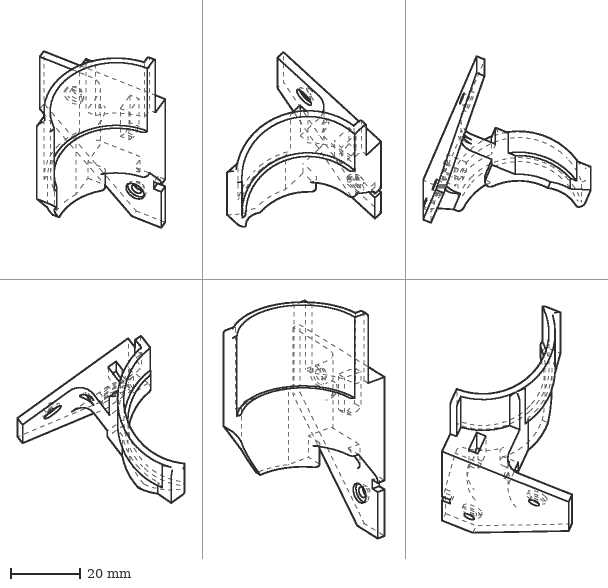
import cadquery as cq
import math

PLATE_WIDTH = 40.0
PLATE_THICKNESS = 2.5
PLATE_TOP = 52.6
PLATE_CORNER_Z = 30.3
PLATE_FOOT_WIDTH = PLATE_WIDTH - PLATE_CORNER_Z
NOTCH_DEPTH = 2.5
NOTCH_HEIGHT = 3.0

SCREW_PLACES = [(-29.0, 41.35), (-8.6, 11.25)]
SCREW_DIAMETER = 3.2
SCREW_HEAD_DIAMETER = 5.9
SCREW_HEAD_DEPTH = 1.0

TOTAL_HEIGHT = 76
TOTAL_DEPTH = 45.2
BLOCK_WIDTH = 18.0
BLOCK_BOTTOM = 30.2
CRADLE_BOTTOM = 23.1
ROOT_RADIUS = 5.0
EDGE_RADIUS = 1.5

AXIS_Y = -30.0
LOWER_BORE_RADIUS = 18.0
UPPER_BORE_RADIUS = 19.15
LOWER_OUTER_RADIUS = 20.0
UPPER_OUTER_RADIUS = 21.0
OUTER_STEP_Z = 48.0
BORE_STEP_Z = 49.25
CRADLE_FOOT_BACK_Y = -14.05
TOWER_BACK_Y = -15.2
SLOPE_START_Y = -31.7
SLOPE_END_Z = 43.85

RIB_WIDTH = 2.05
RIB_BACK_Y = -6.0

GUSSET_WIDTH = 5.1
GUSSET_FRONT_Y = -9.6
GUSSET_FOOT_Z = 19.9
GUSSET_TILT = math.atan2(-GUSSET_FRONT_Y - PLATE_THICKNESS, BLOCK_BOTTOM - GUSSET_FOOT_Z)
GUSSET_TANGENT = ROOT_RADIUS * math.tan(GUSSET_TILT / 2)
GUSSET_ROUND_BOTTOM = GUSSET_FOOT_Z - GUSSET_TANGENT

NUT_Y = -6.45
NUT_Z = 42.55
NUT_SLOT_X = -8.35
NUT_SLOT_WIDTH = 2.9
NUT_WIDTH = 6.0
NUT_FLOOR_WIDTH = 0.8
CLEARANCE_RADIUS = 3.0


def box(x_min, x_max, y_min, y_max, z_min, z_max):
    size = (x_max - x_min, y_max - y_min, z_max - z_min)
    return cq.Workplane("XY").box(*size, centered=False).translate((x_min, y_min, z_min))


def upright_cylinder(radius, z_min, z_max):
    disc = cq.Workplane("XY", origin=(0, AXIS_Y, z_min)).circle(radius)
    return disc.extrude(z_max - z_min)


def along_x(points, x_min, x_max):
    """Prism with a (y, z) outline."""
    return cq.Workplane("YZ", origin=(x_min, 0, 0)).polyline(points).close().extrude(x_max - x_min)


def flared_plan(width, depth, z_min, z_max):
    """Upright prism whose left side flares into the plate face with a concave round."""
    plan = (
        cq.Workplane("XY", origin=(0, 0, z_min))
        .moveTo(0, 0)
        .lineTo(0, -depth)
        .lineTo(-width, -depth)
        .lineTo(-width, -PLATE_THICKNESS - ROOT_RADIUS)
        .radiusArc((-width - ROOT_RADIUS, -PLATE_THICKNESS), -ROOT_RADIUS)
        .lineTo(-width - ROOT_RADIUS, 0)
        .close()
    )
    return plan.extrude(z_max - z_min)


def plate():
    outline = [
        (0, 0),
        (-PLATE_FOOT_WIDTH, 0),
        (-PLATE_WIDTH, PLATE_CORNER_Z),
        (-PLATE_WIDTH, PLATE_TOP),
        (0, PLATE_TOP),
    ]
    return cq.Workplane("XZ").polyline(outline).close().extrude(PLATE_THICKNESS)


def block():
    """Block whose left and lower roots are rounded into the plate with a mitred corner."""
    flare_width = BLOCK_WIDTH + ROOT_RADIUS
    plan = flared_plan(BLOCK_WIDTH, TOTAL_DEPTH, BLOCK_BOTTOM - ROOT_RADIUS, PLATE_TOP)
    side = (
        cq.Workplane("YZ", origin=(-flare_width, 0, 0))
        .moveTo(0, PLATE_TOP)
        .lineTo(-TOTAL_DEPTH, PLATE_TOP)
        .lineTo(-TOTAL_DEPTH, BLOCK_BOTTOM)
        .lineTo(-PLATE_THICKNESS - ROOT_RADIUS, BLOCK_BOTTOM)
        .radiusArc((-PLATE_THICKNESS, BLOCK_BOTTOM - ROOT_RADIUS), ROOT_RADIUS)
        .lineTo(0, BLOCK_BOTTOM - ROOT_RADIUS)
        .close()
        .extrude(flare_width)
    )
    return plan.intersect(side)


def gusset():
    """Sloping support under the block, rounded into the plate on its left and lower sides."""
    round_front = (
        -PLATE_THICKNESS - GUSSET_TANGENT * math.sin(GUSSET_TILT),
        GUSSET_FOOT_Z + GUSSET_TANGENT * math.cos(GUSSET_TILT),
    )
    flare_width = GUSSET_WIDTH + ROOT_RADIUS
    side = (
        cq.Workplane("YZ", origin=(-flare_width, 0, 0))
        .moveTo(0, BLOCK_BOTTOM)
        .lineTo(GUSSET_FRONT_Y, BLOCK_BOTTOM)
        .lineTo(*round_front)
        .radiusArc((-PLATE_THICKNESS, GUSSET_ROUND_BOTTOM), ROOT_RADIUS)
        .lineTo(0, GUSSET_ROUND_BOTTOM)
        .close()
        .extrude(flare_width)
    )
    return side.intersect(flared_plan(GUSSET_WIDTH, -GUSSET_FRONT_Y, GUSSET_ROUND_BOTTOM, BLOCK_BOTTOM))


def tower():
    """Upper part of the cradle with its rounded top edges and the narrow rib."""
    flange = box(-BLOCK_WIDTH, 0, -TOTAL_DEPTH, TOWER_BACK_Y, PLATE_TOP, TOTAL_HEIGHT)
    flange = flange.faces(">Z").edges("<X or >Y").fillet(EDGE_RADIUS)
    rib = box(-RIB_WIDTH, 0, AXIS_Y, RIB_BACK_Y, PLATE_TOP, TOTAL_HEIGHT)
    rib = rib.faces(">Z").edges(">Y").fillet(EDGE_RADIUS)
    shell = upright_cylinder(UPPER_OUTER_RADIUS, OUTER_STEP_Z, TOTAL_HEIGHT)
    front_limit = box(-PLATE_WIDTH, 0, -TOTAL_DEPTH, 0, OUTER_STEP_Z, TOTAL_HEIGHT)
    front_limit = front_limit.faces(">Z").edges("<Y").fillet(EDGE_RADIUS)
    return flange.union(shell).union(rib).intersect(front_limit)


def lower_shell():
    return upright_cylinder(LOWER_OUTER_RADIUS, BLOCK_BOTTOM, OUTER_STEP_Z)


def cradle_foot():
    """Part of the cradle that hangs below the block."""
    flat_side = box(-BLOCK_WIDTH, 0, -TOTAL_DEPTH, CRADLE_FOOT_BACK_Y, CRADLE_BOTTOM, BLOCK_BOTTOM)
    return flat_side.union(upright_cylinder(LOWER_OUTER_RADIUS, CRADLE_BOTTOM, BLOCK_BOTTOM))


def bored_envelope(back_y, z_min, z_max):
    """Space left around the lower bore, with the sharp tips beside the bore rounded."""
    space = box(-PLATE_WIDTH, 0, -TOTAL_DEPTH, back_y, z_min, z_max)
    space = space.cut(upright_cylinder(LOWER_BORE_RADIUS, z_min, z_max))
    tips = cq.selectors.BoxSelector(
        (-LOWER_BORE_RADIUS / 2 - EDGE_RADIUS, AXIS_Y - LOWER_BORE_RADIUS, z_min),
        (EDGE_RADIUS, AXIS_Y + LOWER_BORE_RADIUS + EDGE_RADIUS, z_max),
    )
    return space.edges("|Z").edges(tips).fillet(EDGE_RADIUS)


def below_slope():
    """Wedge removed from the lower front of the cradle."""
    outline = [
        (SLOPE_START_Y, CRADLE_BOTTOM),
        (-TOTAL_DEPTH, SLOPE_END_Z),
        (-TOTAL_DEPTH, CRADLE_BOTTOM),
    ]
    return along_x(outline, -PLATE_WIDTH, 0)


def nut_pocket():
    """Slot for a nut, with a pointed floor that is flattened at its lowest place."""
    half_width = NUT_WIDTH / 2
    half_floor = NUT_FLOOR_WIDTH / 2
    floor_slope = math.tan(math.radians(30))
    shoulder_z = NUT_Z - half_width * floor_slope
    floor_z = shoulder_z - (half_width - half_floor) * floor_slope
    outline = [
        (NUT_Y - half_width, PLATE_TOP),
        (NUT_Y - half_width, shoulder_z),
        (NUT_Y - half_floor, floor_z),
        (NUT_Y + half_floor, floor_z),
        (NUT_Y + half_width, shoulder_z),
        (NUT_Y + half_width, PLATE_TOP),
    ]
    return along_x(outline, NUT_SLOT_X - NUT_SLOT_WIDTH / 2, NUT_SLOT_X + NUT_SLOT_WIDTH / 2)


def side_clearance():
    """Round recess through the left root round, ending level with the side of the block."""
    disc = cq.Workplane("YZ", origin=(-BLOCK_WIDTH, NUT_Y, NUT_Z)).circle(CLEARANCE_RADIUS)
    return disc.extrude(-ROOT_RADIUS)


def screw_hole(x, z):
    hole = cq.Workplane("XZ", origin=(x, 0, z)).circle(SCREW_DIAMETER / 2).extrude(PLATE_THICKNESS)
    seat = cq.Workplane("XZ", origin=(x, SCREW_HEAD_DEPTH - PLATE_THICKNESS, z))
    return hole.union(seat.circle(SCREW_HEAD_DIAMETER / 2).extrude(SCREW_HEAD_DEPTH))


def edge_notch():
    """Square notch in the right edge of the plate, directly below the gusset."""
    top = GUSSET_ROUND_BOTTOM
    return box(-NOTCH_DEPTH, 0, -PLATE_THICKNESS, 0, top - NOTCH_HEIGHT, top)


foot = cradle_foot().intersect(bored_envelope(CRADLE_FOOT_BACK_Y, CRADLE_BOTTOM, BLOCK_BOTTOM))
upper_body = block().union(tower()).union(lower_shell())
upper_body = upper_body.intersect(bored_envelope(0, 0, TOTAL_HEIGHT))
result = upper_body.union(foot).cut(below_slope())
result = result.cut(upright_cylinder(UPPER_BORE_RADIUS, BORE_STEP_Z, TOTAL_HEIGHT))
result = result.union(plate()).union(gusset())
result = result.cut(nut_pocket()).cut(side_clearance()).cut(edge_notch())
for screw_x, screw_z in SCREW_PLACES:
    result = result.cut(screw_hole(screw_x, screw_z))